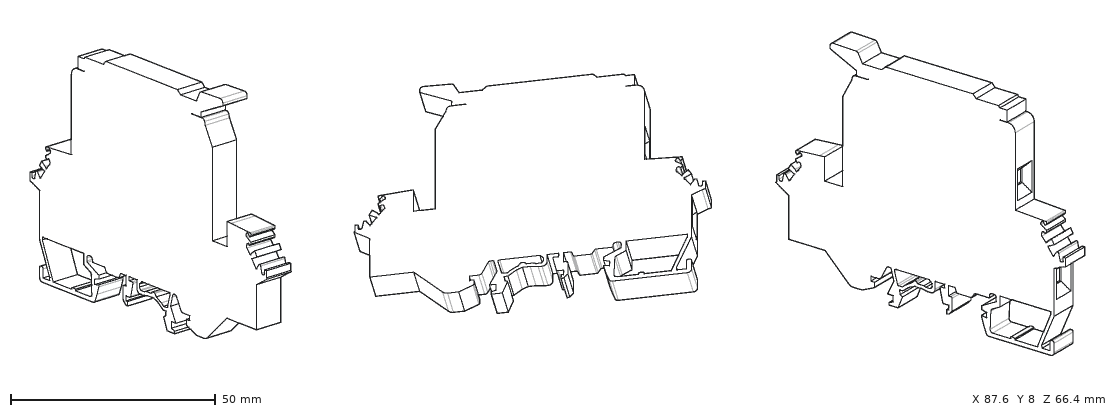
import cadquery as cq
import math

THICKNESS = 8.0
LENGTH = 87.6
HEIGHT = 66.4
OVERLAP = 0.9

LEFT_WALL = 3.5
RIGHT_WALL = 83.7
TOWER_LEFT = 15.2
TOWER_RIGHT = 67.4
TOWER_TOP = 59.4
TOWER_CHAMFER_BASE = 52.8
NOTCH_RIGHT = 72.8
NOTCH_FLOOR = 28.4
LEFT_EAR_BASE = 23.7
RIGHT_EAR_BASE = 21.5
RIGHT_FLOOR = 9.6
RAIL_SEAT = 10.4
STEP_FLOOR = 9.0
CHIN_FLOOR = 2.0

FOOT_CEILING = 11.8
FOOT_FLOOR = 1.2
ARM_LEFT = 19.8
ARM_RIGHT = 21.0

LATCH_LEFT = 35.4
LATCH_RIGHT = 36.6
CLIP_LEFT = 39.5
CLIP_RIGHT = 52.8
CLIP_NECK_LEFT = 51.95
CLIP_NECK_RIGHT = 52.6
CLIP_NECK = 9.55

LEFT_TIP = (0.0, 27.6)
RIGHT_TIP = (87.3, 26.1)
LEFT_SHOULDER = 36.35
RIGHT_SHOULDER = 34.95

LEVER_LEFT = 17.7
LEVER_RIGHT = 63.25
LEVER_SHELF = 63.25
LEVER_CREST = 64.3
SLIT_HEIGHT = 0.1
LEFT_SLIT_END = 19.9
RIGHT_SLIT_END = 59.7

FUNNEL_WIDTH = 6.0
FUNNEL_HEIGHT = 8.6
FUNNEL_DEPTH = 2.4
BORE_WIDTH = 3.3
BORE_HEIGHT = 3.9
BORE_DEPTH = 0.5
BORE_OFFSET = -0.5
UPPER_FUNNEL_Z = 42.8
LOWER_FUNNEL_Z = 19.4


def plate(points):
    """Extrude a closed XZ outline; a point may carry a corner radius as a third value."""
    corners = []
    for i, (x, z, *radius) in enumerate(points):
        if not radius:
            corners.append(((x, z), None, None))
            continue
        before = cq.Vector(*points[i - 1][:2])
        after = cq.Vector(*points[(i + 1) % len(points)][:2])
        corner = cq.Vector(x, z)
        to_before = (before - corner).normalized()
        to_after = (after - corner).normalized()
        half_angle = to_before.getAngle(to_after) / 2
        setback = radius[0] / math.tan(half_angle)
        bisector = (to_before + to_after).normalized()
        middle = corner + bisector * (radius[0] / math.sin(half_angle) - radius[0])
        start = corner + to_before * setback
        end = corner + to_after * setback
        corners.append((start.toTuple()[:2], middle.toTuple()[:2], end.toTuple()[:2]))

    outline = cq.Workplane("XZ").moveTo(*corners[0][0])
    for start, middle, end in corners[1:]:
        outline = outline.lineTo(*start)
        if middle:
            outline = outline.threePointArc(middle, end)
    return outline.close().extrude(THICKNESS / 2, both=True)


def housing():
    return plate([
        (LEFT_WALL, FOOT_CEILING),
        (LEFT_WALL, LEFT_EAR_BASE),
        (TOWER_LEFT, LEFT_EAR_BASE),
        (TOWER_LEFT, TOWER_TOP, 2.1),
        (64.3, TOWER_TOP, 0.9),
        (64.7, 57.8),
        (TOWER_RIGHT, TOWER_CHAMFER_BASE),
        (TOWER_RIGHT, NOTCH_FLOOR),
        (NOTCH_RIGHT, NOTCH_FLOOR),
        (NOTCH_RIGHT, RIGHT_EAR_BASE),
        (RIGHT_WALL, RIGHT_EAR_BASE),
        (RIGHT_WALL, RIGHT_FLOOR),
        (72.7, RIGHT_FLOOR),
        (65.0, CHIN_FLOOR, 1.75),
        (61.5, CHIN_FLOOR),
        (57.7, 3.7, 0.35),
        (57.7, 5.2),
        (58.9, 5.2),
        (58.9, 6.5),
        (56.0, 6.5, 0.9),
        (54.0, RAIL_SEAT, 0.5),
        (CLIP_RIGHT, RAIL_SEAT, 0.35),
        (CLIP_NECK_RIGHT, CLIP_NECK),
        (CLIP_NECK_LEFT, CLIP_NECK),
        (CLIP_NECK_LEFT, RAIL_SEAT),
        (33.5, RAIL_SEAT, 0.3),
        (32.85, STEP_FLOOR, 0.3),
        (28.4, STEP_FLOOR, 0.4),
        (27.5, RAIL_SEAT, 0.4),
        (23.1, RAIL_SEAT),
        (22.95, FOOT_CEILING, 0.8),
        (ARM_RIGHT, FOOT_CEILING, 0.8),
        (ARM_RIGHT, RAIL_SEAT),
        (ARM_LEFT, RAIL_SEAT),
        (ARM_LEFT, FOOT_CEILING),
    ])


def foot():
    root = FOOT_CEILING + OVERLAP
    frame = plate([
        (LEFT_WALL, root),
        (LEFT_WALL, 10.9),
        (7.3, 2.0),
        (7.2, FOOT_FLOOR),
        (4.8, FOOT_FLOOR),
        (4.8, 4.1, 0.5),
        (LEFT_WALL, 4.1, 0.5),
        (LEFT_WALL, 0, 1.05),
        (23.8, 0, 0.9),
        (24.8, 2.5),
        (25.4, 4.6),
        (25.4, 5.2),
        (23.9, 4.8),
        (23.9, 6.2),
        (25.4, 6.7),
        (25.4, 7.7),
        (ARM_RIGHT, 10.0, 0.35),
        (ARM_RIGHT, root),
    ])
    window = plate([
        (4.55, FOOT_CEILING),
        (4.55, 11.1),
        (8.6, FOOT_FLOOR),
        (15.3, FOOT_FLOOR),
        (15.3, 1.6),
        (16.0, 1.9, 1.3),
        (16.7, 1.6),
        (16.7, FOOT_FLOOR),
        (22.9, FOOT_FLOOR, 0.8),
        (22.6, 7.45, 0.7),
        (ARM_LEFT, 8.9),
        (ARM_LEFT, FOOT_CEILING),
    ])
    return frame.cut(window)


def latch():
    root = RAIL_SEAT + OVERLAP
    return plate([
        (LATCH_LEFT, root),
        (LATCH_LEFT, 7.6),
        (34.3, 7.6, 0.35),
        (34.3, 3.8),
        (35.3, 2.7),
        (36.0, 2.5),
        (36.0, 3.8),
        (LATCH_LEFT, 3.8),
        (LATCH_LEFT, 5.1),
        (37.1, 5.1, 0.5),
        (38.1, 9.4, 0.3),
        (LATCH_RIGHT, 9.4),
        (LATCH_RIGHT, root),
    ])


def spring_clip():
    root = RAIL_SEAT + OVERLAP
    frame = plate([
        (CLIP_LEFT, root),
        (CLIP_LEFT, 7.0, 1.2),
        (41.7, 7.0),
        (43.7, 7.4),
        (45.6, 7.4),
        (47.1, 6.75),
        (49.2, 5.2),
        (50.2, 5.2),
        (50.0, 3.9),
        (49.3, 3.5),
        (50.6, 0.2),
        (53.4, 0.2),
        (53.4, 0.9),
        (52.2, 1.3),
        (52.2, 3.1),
        (53.9, 3.1),
        (51.95, 7.0),
        (CLIP_NECK_RIGHT, CLIP_NECK),
        (CLIP_NECK_RIGHT, root),
    ])
    window = plate([
        (41.3, RAIL_SEAT),
        (51.9, RAIL_SEAT, 0.4),
        (50.7, 6.2, 0.4),
        (49.3, 6.2),
        (48.5, 6.9),
        (46.7, 8.0),
        (46.0, 8.85, 0.35),
        (45.1, 8.85, 0.35),
        (44.7, 8.3),
        (42.8, 8.3),
        (42.2, 8.1),
        (40.9, 8.1, 0.3),
        (40.4, 8.8),
        (40.4, 9.55),
    ])
    return frame.cut(window)


def ear(tip, direction, base, shoulder):
    """Serrated ear; direction is +1 when the housing lies on the +X side of the tip."""
    serration = [
        (0, 0),
        (0.9, 0),
        (0.9, -1.4, 0.4),
        (1.9, -1.4, 0.4),
        (2.5, 1.0, 0.35),
        (3.1, 1.0, 0.35),
        (4.3, -0.6),
        (6.2, 1.7),
        (5.7, 1.8),
        (4.0, 2.6),
        (4.9, 4.0),
        (6.4, 3.0),
        (6.8, 2.45),
        (8.5, 4.2, 0.6),
        (8.0, 5.6, 0.4),
        (7.1, 4.9),
        (6.6, 5.3),
        (6.6, 5.9),
        (8.8, 7.2, 0.35),
        (8.0, 8.2, 0.35),
        (7.1, 7.1),
        (6.6, 7.6),
        (6.6, 8.2, 0.3),
    ]
    tip_x, tip_z = tip
    edge = [(tip_x + direction * inward, tip_z + up, *radius) for inward, up, *radius in serration]
    return plate(base + edge + shoulder)


def left_ear():
    inner = TOWER_LEFT + OVERLAP
    base = [
        (inner, LEFT_EAR_BASE),
        (LEFT_WALL, LEFT_EAR_BASE),
        (0.9, 25.0),
        (LEFT_TIP[0], 25.2),
    ]
    shoulder = [(TOWER_LEFT, LEFT_SHOULDER), (inner, LEFT_SHOULDER)]
    return ear(LEFT_TIP, 0.9, base, shoulder)


def right_ear():
    base = [
        (NOTCH_RIGHT, RIGHT_EAR_BASE),
        (RIGHT_WALL, RIGHT_EAR_BASE),
        (LENGTH, 24.0),
        (RIGHT_TIP[0], 24.3),
    ]
    shoulder = [(74.3, 34.9), (NOTCH_RIGHT, RIGHT_SHOULDER)]
    return ear(RIGHT_TIP, -0.9, base, shoulder)


def lever():
    return plate([
        (LEVER_LEFT, TOWER_TOP - OVERLAP),
        (LEVER_LEFT, 62.7),
        (19.9, 62.7),
        (20.3, LEVER_SHELF),
        (27.1, LEVER_SHELF),
        (28.0, LEVER_CREST),
        (54.5, LEVER_CREST),
        (55.6, LEVER_SHELF),
        (61.4, LEVER_SHELF),
        (62.9, 66.1, 0.7),
        (71.2, HEIGHT, 1.0),
        (71.2, 64.65),
        (LEVER_RIGHT, 60.9),
        (LEVER_RIGHT, TOWER_TOP - OVERLAP),
    ])


def slit(x_from, x_to):
    """Thin gap between the lever and the top of the tower."""
    return (
        cq.Workplane("XY")
        .box(x_to - x_from, THICKNESS, SLIT_HEIGHT, centered=(False, True, False))
        .translate((x_from, 0, TOWER_TOP))
    )


def wire_funnel(wall_x, center_z):
    """Rectangular funnel in a left wall, tapering to a short rectangular bore."""
    mouth = cq.Workplane("YZ", origin=(wall_x, 0, center_z)).rect(FUNNEL_WIDTH, FUNNEL_HEIGHT)
    funnel = (
        mouth.workplane(offset=FUNNEL_DEPTH)
        .center(BORE_OFFSET, 0)
        .rect(BORE_WIDTH, BORE_HEIGHT)
        .loft(ruled=True)
    )
    bore = (
        cq.Workplane("YZ", origin=(wall_x + FUNNEL_DEPTH, BORE_OFFSET, center_z))
        .rect(BORE_WIDTH, BORE_HEIGHT)
        .extrude(BORE_DEPTH)
    )
    return funnel.union(bore)


result = housing()
for attached in (foot(), latch(), spring_clip(), left_ear(), right_ear(), lever()):
    result = result.union(attached)
result = result.cut(slit(LEVER_LEFT, LEFT_SLIT_END))
result = result.cut(slit(RIGHT_SLIT_END, LEVER_RIGHT))
result = result.cut(wire_funnel(TOWER_LEFT, UPPER_FUNNEL_Z))
result = result.cut(wire_funnel(LEFT_WALL, LOWER_FUNNEL_Z))
result = result.clean()